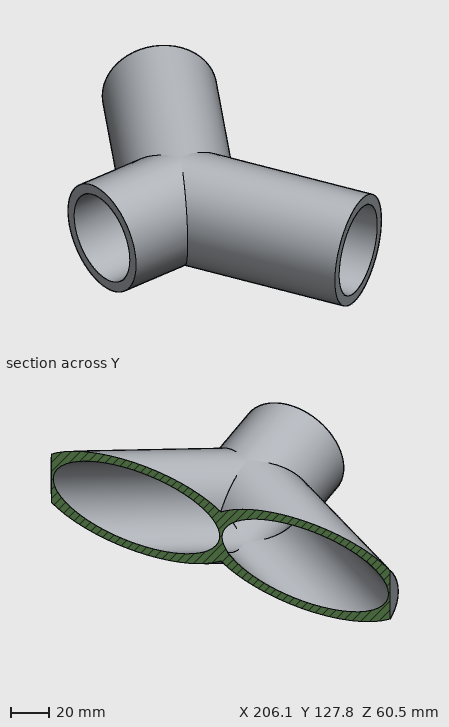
import cadquery as cq
import math

overall_width = 206.1
overall_depth = 127.8
outer_diameter = 60.5
bore_diameter = 49.3
arm_angle = 30.0

outer_radius = outer_diameter / 2
cos_arm = math.cos(math.radians(arm_angle))
sin_arm = math.sin(math.radians(arm_angle))
arm_length = (overall_width / 2 - outer_radius * sin_arm) / cos_arm
back_reach = arm_length * sin_arm + outer_radius * cos_arm
stem_length = overall_depth - back_reach

branches = [
    (arm_angle, arm_length),
    (180 - arm_angle, arm_length),
    (270, stem_length),
]


def branch_cylinder(diameter, angle, length):
    """Cylinder from the origin along a direction in the XY plane."""
    cylinder = cq.Workplane("YZ").circle(diameter / 2).extrude(length)
    return cylinder.rotate((0, 0, 0), (0, 0, 1), angle)


def joined_branches(diameter):
    """Three cylinders meeting at the origin, fused into one Y-shaped solid."""
    first, *others = [branch_cylinder(diameter, angle, length) for angle, length in branches]
    for cylinder in others:
        first = first.union(cylinder)
    return first


result = joined_branches(outer_diameter).cut(joined_branches(bore_diameter))